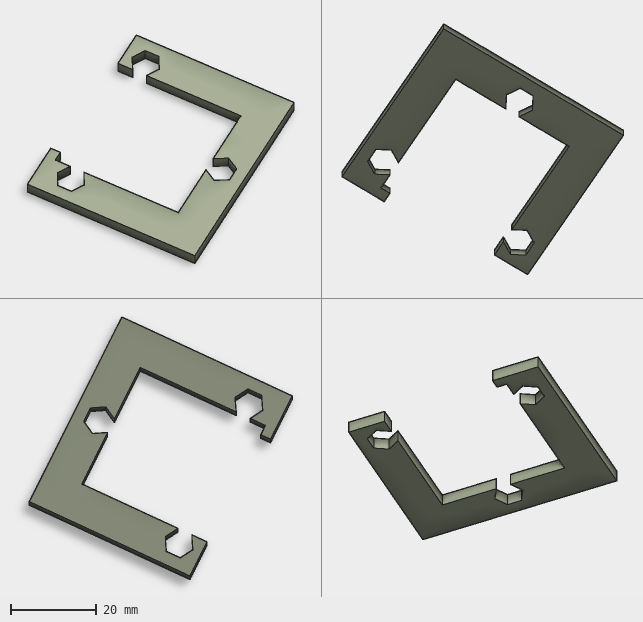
import cadquery as cq
import math

length_x = 44.45
length_y = 50.1
thickness = 3.15

bar_width = 9.25
tab_width = 2.55
tab_rise = 2.5

hex_side = 3.6
hex_center_x = 8.3
hex_apothem = hex_side * math.sqrt(3) / 2

inner_x = length_x - bar_width
lower_inner_y = bar_width
upper_inner_y = length_y - bar_width


def frame():
    """C-shaped plate, open towards -X, with a tab on the longer lower arm."""
    outline = [
        (0, 0),
        (length_x, 0),
        (length_x, length_y),
        (tab_width, length_y),
        (tab_width, upper_inner_y),
        (inner_x, upper_inner_y),
        (inner_x, lower_inner_y),
        (tab_width, lower_inner_y),
        (tab_width, lower_inner_y + tab_rise),
        (0, lower_inner_y + tab_rise),
    ]
    return cq.Workplane("XY").polyline(outline).close().extrude(thickness)


def hex_pocket(x, y, turn):
    """Through-thickness hexagon centred at (x, y), turned about Z in degrees."""
    return (
        cq.Workplane("XY")
        .polygon(6, 2 * hex_side)
        .extrude(thickness)
        .rotate((0, 0, 0), (0, 0, 1), turn)
        .translate((x, y, 0))
    )


pockets = [
    (hex_center_x, lower_inner_y - hex_apothem, 0),
    (hex_center_x, upper_inner_y + hex_apothem, 0),
    (inner_x + hex_apothem, length_y / 2, 30),
]

result = frame()
for x, y, turn in pockets:
    result = result.cut(hex_pocket(x, y, turn))